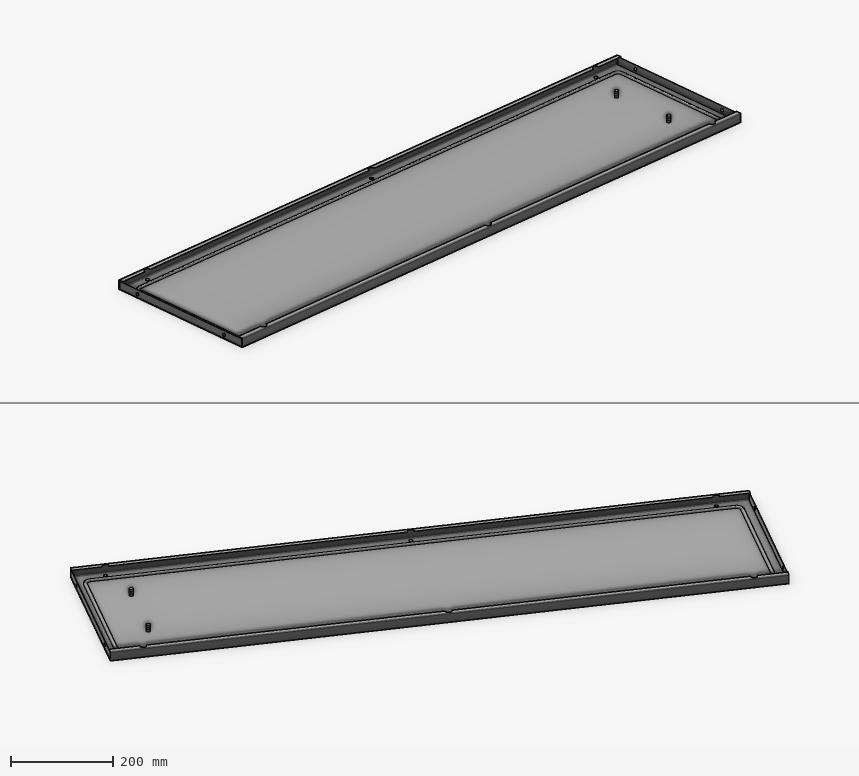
import cadquery as cq

width = 346.0
length = 1361.0
height = 21.5
sheet = 1.0
bend_radius = 1.5
inner_bend_radius = bend_radius - sheet

lip_width = 11.5
end_wall_height = 18.5
end_wall_inset = 2.5

fixing_diameter = 8.0
notch_diameter = 14.0
fixing_x = 162.0
fixing_spacing = 612.5
fixing_points = [
    (side * fixing_x, row * fixing_spacing) for side in (-1, 1) for row in (-1, 0, 1)
]

end_hole_diameter = 7.0
end_hole_x = 121.0
end_hole_z = 8.7

seal_x = 147.5
seal_y = 658.8
seal_radius = 4.0
seal_corner_radius = 12.0

post_x = 73.0
post_y = 581.5
post_height = 15.0
discs_per_post = 3
disc_diameter = 8.0
disc_height = post_height / discs_per_post


def standing_box(size_x, size_y, size_z, y=0.0, z=0.0):
    """Box centred on X, centred at y along Y, with its bottom at height z."""
    return cq.Workplane("XY", origin=(0, y, z)).box(size_x, size_y, size_z, centered=(True, True, False))


def discs(points, diameter, thickness, z):
    """Upright cylinders at the given points, with their bottoms at height z."""
    return cq.Workplane("XY", origin=(0, 0, z)).pushPoints(points).circle(diameter / 2).extrude(thickness)


def make_channel():
    """Floor, side walls and inward lips, open between the lips."""
    outside = standing_box(width, length, height).edges("|Y").fillet(bend_radius)
    inside = (
        standing_box(width - 2 * sheet, length, height - 2 * sheet, z=sheet)
        .edges("|Y").fillet(inner_bend_radius)
    )
    opening = standing_box(width - 2 * lip_width, length, height, z=sheet)
    return outside.cut(inside).cut(opening)


def make_end_wall(end):
    """Wall across one end of the channel, where end is -1 or 1."""
    wall_y = end * (length - sheet) / 2
    return standing_box(width - 2 * end_wall_inset, sheet, end_wall_height, y=wall_y)


def make_panel():
    panel = make_channel()
    for end in (-1, 1):
        panel = panel.union(make_end_wall(end))

    fixing_holes = discs(fixing_points, fixing_diameter, sheet, 0)
    lip_notches = discs(fixing_points, notch_diameter, sheet, height - sheet)
    end_holes = (
        cq.Workplane("XZ")
        .pushPoints([(-end_hole_x, end_hole_z), (end_hole_x, end_hole_z)])
        .circle(end_hole_diameter / 2)
        .extrude(length / 2, both=True)
    )
    return panel.cut(fixing_holes).cut(lip_notches).cut(end_holes)


def make_seal():
    """Half-round section swept around a rectangle with rounded corners."""
    path = (
        standing_box(2 * seal_x, 2 * seal_y, seal_radius, z=sheet)
        .edges("|Z").fillet(seal_corner_radius)
        .faces("<Z").wires().val()
    )
    section = (
        cq.Workplane("XZ", origin=(seal_x, 0, sheet))
        .moveTo(-seal_radius, 0)
        .threePointArc((0, seal_radius), (seal_radius, 0))
        .close()
    )
    return section.sweep(cq.Workplane(path), transition="right")


def make_post_disc(x, level):
    """One disc of the post at x, where level counts up from 0 at the floor."""
    return discs([(x, post_y)], disc_diameter, disc_height, sheet + level * disc_height)


panel = make_panel()
seal = make_seal()
post_discs = [
    make_post_disc(x, level).val() for x in (-post_x, post_x) for level in range(discs_per_post)
]

result = cq.Compound.makeCompound([panel.val(), seal.val(), *post_discs])